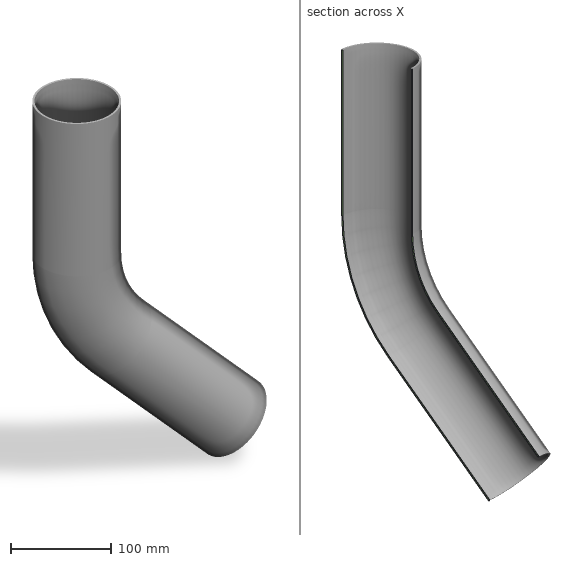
import cadquery as cq
import math

overall_height = 442.5
outer_diameter = 89.0
inner_diameter = 84.5
leg_length = 178.0
bend_angle = 45.0

bend_sine = math.sin(math.radians(bend_angle))
bend_cosine = math.cos(math.radians(bend_angle))

lower_leg_height = leg_length * bend_cosine
tilted_rim_height = outer_diameter / 2 * bend_sine
bend_height = overall_height - leg_length - lower_leg_height - tilted_rim_height
bend_radius = bend_height / bend_sine

upper_end = (0, leg_length)
bend_start = (0, 0)
half_bend = math.radians(bend_angle / 2)
bend_middle = (bend_radius * (1 - math.cos(half_bend)), -bend_radius * math.sin(half_bend))
bend_end = (bend_radius * (1 - bend_cosine), -bend_height)
lower_end = (bend_end[0] + leg_length * bend_sine, bend_end[1] - lower_leg_height)

centreline = (
    cq.Workplane("YZ")
    .moveTo(*upper_end)
    .lineTo(*bend_start)
    .threePointArc(bend_middle, bend_end)
    .lineTo(*lower_end)
)

result = (
    cq.Workplane("XY")
    .workplane(offset=leg_length)
    .circle(outer_diameter / 2)
    .circle(inner_diameter / 2)
    .sweep(centreline)
)